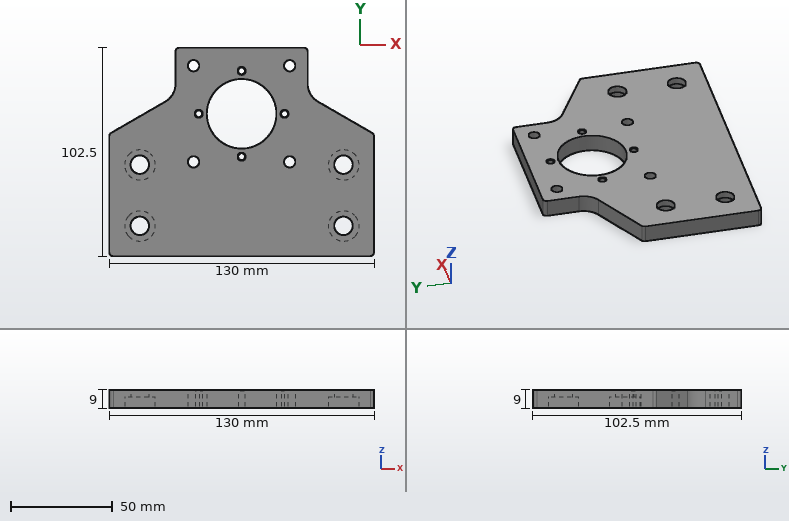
import cadquery as cq
import math

WIDTH = 130.0
LENGTH = 102.5
THICKNESS = 9.0
HEAD_WIDTH = WIDTH / 2
SHOULDER_HEIGHT = 60.0
SHOULDER_ANGLE = 30.0
CORNER_RADIUS = 2.0
NECK_RADIUS = 10.0

BORE_Y = LENGTH - HEAD_WIDTH / 2
BORE_DIAMETER = 34.0
MOTOR_HOLE_SPACING = 47.2
MOTOR_HOLE_DIAMETER = 5.5

RING_RADIUS = 21.0
RING_HOLE_COUNT = 4
RING_HOLE_DIAMETER = 3.2
RING_CHAMFER_DIAMETER = 4.0
CHAMFER_ANGLE = 90.0

BOLT_SPACING_X = 100.0
BOLT_SPACING_Y = 30.0
BOLT_EDGE_DISTANCE = 15.0
BOLT_HOLE_DIAMETER = 9.0
BOLT_HEAD_DIAMETER = 15.0
BOLT_HEAD_DEPTH = 5.5


def make_plate():
    half_width = WIDTH / 2
    half_head = HEAD_WIDTH / 2
    slope_rise = (half_width - half_head) * math.tan(math.radians(SHOULDER_ANGLE))
    neck_height = SHOULDER_HEIGHT + slope_rise
    outline = [
        (-half_width, 0),
        (half_width, 0),
        (half_width, SHOULDER_HEIGHT),
        (half_head, neck_height),
        (half_head, LENGTH),
        (-half_head, LENGTH),
        (-half_head, neck_height),
        (-half_width, SHOULDER_HEIGHT),
    ]
    plate = cq.Workplane("XY").polyline(outline).close().extrude(THICKNESS)
    neck_box = cq.selectors.BoxSelector(
        (-half_width, neck_height - CORNER_RADIUS, 0),
        (half_width, neck_height + CORNER_RADIUS, THICKNESS),
    )
    vertical_edges = cq.selectors.ParallelDirSelector(cq.Vector(0, 0, 1))
    plate = plate.edges(vertical_edges - neck_box).fillet(CORNER_RADIUS)
    return plate.edges(vertical_edges & neck_box).fillet(NECK_RADIUS)


def top_plane(plate, y):
    """Workplane on the top face, centred across the width at the given y."""
    return plate.faces(">Z").workplane(origin=(0, y, THICKNESS))


def cut_motor_holes(plate):
    plate = top_plane(plate, BORE_Y).hole(BORE_DIAMETER)
    return (
        top_plane(plate, BORE_Y)
        .rect(MOTOR_HOLE_SPACING, MOTOR_HOLE_SPACING, forConstruction=True)
        .vertices()
        .hole(MOTOR_HOLE_DIAMETER)
    )


def cut_ring_holes(plate):
    return (
        top_plane(plate, BORE_Y)
        .polarArray(RING_RADIUS, 0, 360, RING_HOLE_COUNT)
        .cskHole(RING_HOLE_DIAMETER, RING_CHAMFER_DIAMETER, CHAMFER_ANGLE)
    )


def cut_bolt_holes(plate):
    middle_y = BOLT_EDGE_DISTANCE + BOLT_SPACING_Y / 2
    return (
        plate.faces("<Z")
        .workplane(origin=(0, middle_y, 0))
        .rect(BOLT_SPACING_X, BOLT_SPACING_Y, forConstruction=True)
        .vertices()
        .cboreHole(BOLT_HOLE_DIAMETER, BOLT_HEAD_DIAMETER, BOLT_HEAD_DEPTH)
    )


result = cut_bolt_holes(cut_ring_holes(cut_motor_holes(make_plate())))